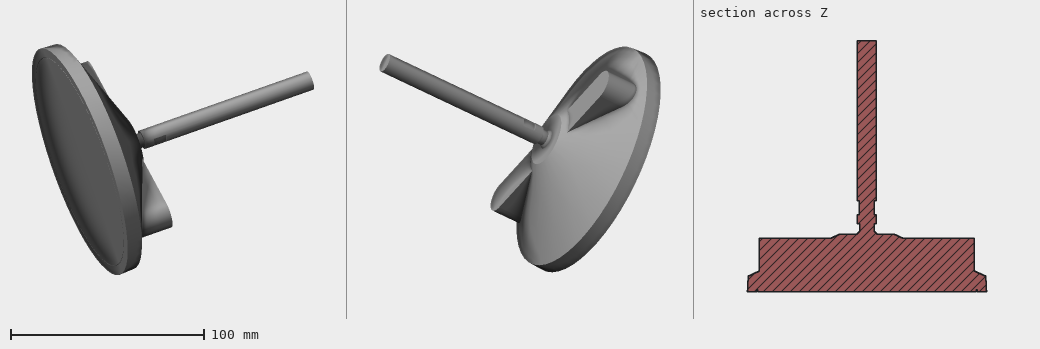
import cadquery as cq
import math

PAD_DIAMETER = 124.0
RIM_DRAFT_ANGLE = 3.0
CONE_TOP_DIAMETER = 28.0
RIM_TOP_Y = 8.2
CONE_TOP_Y = 30.0
RIM_TOP_DIAMETER = PAD_DIAMETER - 2 * RIM_TOP_Y * math.tan(math.radians(RIM_DRAFT_ANGLE))

PLATE_DIAMETER = 113.5
RECESS_DIAMETER = 114.0
RECESS_FLOOR_Y = 1.0

BAR_LENGTH = 111.5
BAR_WIDTH = 16.5
BAR_TOP_Y = 28.0

BALL_DIAMETER = 12.5
BALL_CENTRE_Y = 26.5
NECK_DIAMETER = 7.8
ROD_DIAMETER = 10.0
ROD_START_Y = 35.0
ROD_END_Y = 130.0

FLATS_WIDTH = 8.0
FLATS_START_Y = 40.0
FLATS_END_Y = 47.0


def cylinder_y(diameter, start_y, end_y):
    """Cylinder on the Y axis between two Y positions."""
    return cq.Workplane(cq.Solid.makeCylinder(
        diameter / 2, end_y - start_y, cq.Vector(0, start_y, 0), cq.Vector(0, 1, 0)
    ))


def make_pad_body():
    """Tapered rim and cone, revolved about the Y axis."""
    return (
        cq.Workplane("XY")
        .moveTo(0, 0)
        .lineTo(PAD_DIAMETER / 2, 0)
        .lineTo(RIM_TOP_DIAMETER / 2, RIM_TOP_Y)
        .lineTo(CONE_TOP_DIAMETER / 2, CONE_TOP_Y)
        .lineTo(0, CONE_TOP_Y)
        .close()
        .revolve(360, (0, 0, 0), (0, 1, 0))
    )


def make_crossbar():
    """Round-ended bar, from the recess floor up to its flat top."""
    return (
        cq.Workplane("XZ", origin=(0, BAR_TOP_Y, 0))
        .slot2D(BAR_LENGTH, BAR_WIDTH)
        .extrude(BAR_TOP_Y - RECESS_FLOOR_Y)
    )


def make_stem():
    """Ball, neck and rod, with two opposite flats cut into the rod."""
    ball = cq.Workplane("XY").sphere(BALL_DIAMETER / 2).translate((0, BALL_CENTRE_Y, 0))
    neck = cylinder_y(NECK_DIAMETER, BALL_CENTRE_Y, ROD_START_Y)
    rod = cylinder_y(ROD_DIAMETER, ROD_START_Y, ROD_END_Y)
    cutter_depth = ROD_DIAMETER / 2
    for side in (-1, 1):
        cutter = cq.Workplane("XY").box(
            cutter_depth, FLATS_END_Y - FLATS_START_Y, ROD_DIAMETER
        ).translate((
            side * (FLATS_WIDTH + cutter_depth) / 2, (FLATS_START_Y + FLATS_END_Y) / 2, 0
        ))
        rod = rod.cut(cutter)
    return ball.union(neck).union(rod)


recess = cylinder_y(RECESS_DIAMETER, 0, RECESS_FLOOR_Y)
plate = cylinder_y(PLATE_DIAMETER, 0, RECESS_FLOOR_Y)

result = (
    make_pad_body()
    .union(make_crossbar())
    .cut(recess)
    .union(plate)
    .union(make_stem())
)